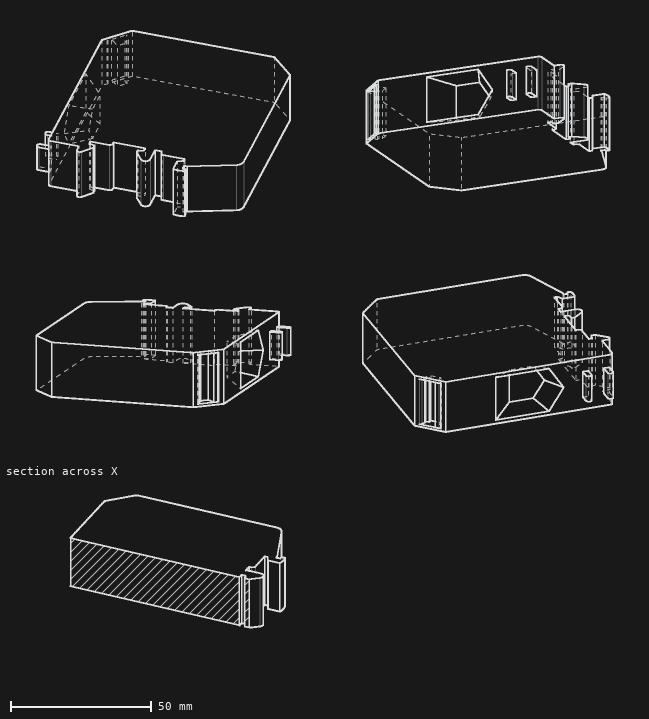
import cadquery as cq
import math

THICKNESS = 20.0
WIDTH = 70.5
HEIGHT = 72.5
CORNER_CUT = 8.65
EDGE_RADIUS = 1.05

SLOPE_ANGLE = 19.9
SLOPE_RADIUS = 3.0

SEAT_Y = 3.95
RECESS_Y = 5.9
FOOT_Y = -3.3

LEFT_FOOT_X = 11.6
LEFT_UNDERCUT_X = 14.55
LEFT_BARB_X = 16.75
LEFT_BARB_LOW_Y = 0.75
LEFT_BARB_HIGH_Y = 2.1
LEFT_UNDERCUT_Y = 2.65

RECESS_LEFT_X = 22.7
RECESS_RIGHT_X = 40.8
LATCH_NECK_X = 34.5
LATCH_BARB_X = 32.3
LATCH_BARB_Y = 2.65
LATCH_RIGHT_X = 38.2
LATCH_TIP_Y = -1.6
LATCH_TIP_RADIUS = 1.75
LATCH_LEAN = 36.0

RIGHT_FOOT_X = 47.75
RIGHT_UNDERCUT_X = 49.9
RIGHT_UNDERCUT_LOW_Y = 1.7
RIGHT_UNDERCUT_HIGH_Y = 2.8
RIGHT_ANKLE_X = 50.9
RIGHT_TOE_X = 52.1
TOE_TOP_Y = -1.8
ANKLE_Y = -1.6
SOLE_EDGE_Y = -3.0

PINS = [(10.6, 4.3), (2.6, 4.9)]
PIN_THICKNESS = 2.1
PIN_DEPTH = 10.1

SOCKET_TOP_Y = 44.7
SOCKET_SHOULDER_Y = 24.5
SOCKET_DEPTH = 7.9
SOCKET_HALF_WIDTH = 8.5
SOCKET_FLOOR_TOP_Y = 36.7
SOCKET_FLOOR_SHOULDER_Y = 27.6
SOCKET_FLOOR_HALF_WIDTH = 6.45
SOCKET_POINT_SLOPE = 0.66

POCKET_START = 1.8
POCKET_WIDTH = 18.0
LIP_RADIUS = 0.8
LIP_ANGLE = 70.0
RAMP_END = 1.3
RAMP_DEPTH = 2.0
STEP_DEPTH = 2.95
STEP_END = 2.65
SLOT_END = 6.45
SLOT_DEPTH = 4.3
POCKET_END = 8.4
GAP_DEPTH = 0.5
RIB_END = 8.2
RIB_HEIGHT = 0.1
RIB_RADIUS = 0.5


def extrude_centred(outline, depth):
    """Close the outline and extrude it symmetrically about z = 0."""
    return outline.close().extrude(depth / 2, both=True)


def polar(centre, radius, angle):
    """Point on a circle, with the angle in degrees."""
    a = math.radians(angle)
    return (centre[0] + radius * math.cos(a), centre[1] + radius * math.sin(a))


def make_body():
    slope_end_y = (WIDTH - RIGHT_TOE_X) * math.tan(math.radians(SLOPE_ANGLE))
    tip_centre = (LATCH_RIGHT_X - LATCH_TIP_RADIUS, LATCH_TIP_Y + LATCH_TIP_RADIUS)
    latch_tangent = polar(tip_centre, LATCH_TIP_RADIUS, 180 + LATCH_LEAN)
    latch_bottom = polar(tip_centre, LATCH_TIP_RADIUS, 270)
    toe_centre = (LEFT_FOOT_X + EDGE_RADIUS, FOOT_Y + EDGE_RADIUS)
    outline = (
        cq.Workplane("XY")
        .moveTo(0, 0)
        .lineTo(LEFT_FOOT_X, 0)
        .lineTo(*polar(toe_centre, EDGE_RADIUS, 180))
        .threePointArc(polar(toe_centre, EDGE_RADIUS, 247.5), polar(toe_centre, EDGE_RADIUS, 315))
        .lineTo(LEFT_BARB_X, LEFT_BARB_LOW_Y)
        .lineTo(LEFT_BARB_X, LEFT_BARB_HIGH_Y)
        .lineTo(LEFT_UNDERCUT_X, LEFT_UNDERCUT_Y)
        .lineTo(LEFT_UNDERCUT_X, SEAT_Y)
        .lineTo(RECESS_LEFT_X, SEAT_Y)
        .lineTo(RECESS_LEFT_X, RECESS_Y)
        .lineTo(LATCH_NECK_X, RECESS_Y)
        .lineTo(LATCH_NECK_X, SEAT_Y)
        .lineTo(LATCH_BARB_X, SEAT_Y)
        .lineTo(LATCH_BARB_X, LATCH_BARB_Y)
        .lineTo(*latch_tangent)
        .threePointArc(latch_bottom, (LATCH_RIGHT_X, tip_centre[1]))
        .lineTo(LATCH_RIGHT_X, RECESS_Y)
        .lineTo(RECESS_RIGHT_X, RECESS_Y)
        .lineTo(RECESS_RIGHT_X, SEAT_Y)
        .lineTo(RIGHT_UNDERCUT_X, SEAT_Y)
        .lineTo(RIGHT_UNDERCUT_X, RIGHT_UNDERCUT_HIGH_Y)
        .lineTo(RIGHT_FOOT_X, RIGHT_UNDERCUT_LOW_Y)
        .lineTo(RIGHT_FOOT_X, SOLE_EDGE_Y)
        .threePointArc(((RIGHT_FOOT_X + RIGHT_TOE_X) / 2, FOOT_Y), (RIGHT_TOE_X, SOLE_EDGE_Y))
        .lineTo(RIGHT_TOE_X, TOE_TOP_Y)
        .lineTo(RIGHT_ANKLE_X, ANKLE_Y)
        .lineTo(RIGHT_ANKLE_X, 0)
        .lineTo(RIGHT_TOE_X, 0)
        .lineTo(WIDTH, slope_end_y)
        .lineTo(WIDTH, HEIGHT - CORNER_CUT)
        .lineTo(WIDTH - CORNER_CUT, HEIGHT)
        .lineTo(CORNER_CUT, HEIGHT)
        .lineTo(0, HEIGHT - CORNER_CUT)
    )
    body = extrude_centred(outline, THICKNESS)
    rounded_edges = [
        (0, 0, EDGE_RADIUS),
        (RECESS_LEFT_X, SEAT_Y, EDGE_RADIUS),
        (LATCH_NECK_X, SEAT_Y, EDGE_RADIUS),
        (RECESS_RIGHT_X, SEAT_Y, EDGE_RADIUS),
        (WIDTH, slope_end_y, SLOPE_RADIUS),
    ]
    for x, y, radius in rounded_edges:
        corner = cq.selectors.NearestToPointSelector((x, y, 0))
        body = body.edges(corner).fillet(radius)
    return body


def make_pin(centre_y, length):
    half = PIN_THICKNESS / 2
    outline = (
        cq.Workplane("XY")
        .moveTo(half, centre_y - half)
        .lineTo(half - length, centre_y - half)
        .threePointArc((-length, centre_y), (half - length, centre_y + half))
        .lineTo(half, centre_y + half)
    )
    return extrude_centred(outline, PIN_DEPTH)


def socket_outline(top_y, shoulder_y, half_width):
    point_y = shoulder_y - SOCKET_POINT_SLOPE * half_width
    return [
        (top_y, -half_width),
        (shoulder_y, -half_width),
        (point_y, 0),
        (shoulder_y, half_width),
        (top_y, half_width),
    ]


def make_socket():
    mouth = socket_outline(SOCKET_TOP_Y, SOCKET_SHOULDER_Y, SOCKET_HALF_WIDTH)
    floor = socket_outline(SOCKET_FLOOR_TOP_Y, SOCKET_FLOOR_SHOULDER_Y, SOCKET_FLOOR_HALF_WIDTH)
    return (
        cq.Workplane("YZ")
        .polyline(mouth)
        .close()
        .workplane(offset=SOCKET_DEPTH)
        .polyline(floor)
        .close()
        .loft(ruled=True)
    )


def corner_cut_plane():
    """Local x runs down the left corner cut from the pocket edge, local y runs into the body."""
    offset = POCKET_START / math.sqrt(2)
    origin = (CORNER_CUT - offset, HEIGHT - offset, 0)
    return cq.Plane(origin=origin, xDir=(-1, -1, 0), normal=(0, 0, 1))


def make_pocket():
    lip_centre = (0, LIP_RADIUS)
    outline = (
        cq.Workplane(corner_cut_plane())
        .moveTo(0, 0)
        .threePointArc(
            polar(lip_centre, LIP_RADIUS, LIP_ANGLE / 2 - 90),
            polar(lip_centre, LIP_RADIUS, LIP_ANGLE - 90),
        )
        .lineTo(RAMP_END, RAMP_DEPTH)
        .lineTo(RAMP_END, STEP_DEPTH)
        .lineTo(STEP_END, STEP_DEPTH)
        .lineTo(STEP_END, SLOT_DEPTH)
        .lineTo(SLOT_END, SLOT_DEPTH)
        .lineTo(SLOT_END, GAP_DEPTH)
        .lineTo(POCKET_END, GAP_DEPTH)
        .lineTo(POCKET_END, 0)
    )
    return extrude_centred(outline, POCKET_WIDTH)


def make_rib():
    """Grip rib standing slightly proud of the corner cut, rounded at its lower end."""
    round_centre = (RIB_END - RIB_RADIUS, RIB_RADIUS - RIB_HEIGHT)
    root = GAP_DEPTH + RIB_RADIUS
    outline = (
        cq.Workplane(corner_cut_plane())
        .moveTo(SLOT_END, root)
        .lineTo(SLOT_END, -RIB_HEIGHT)
        .lineTo(round_centre[0], -RIB_HEIGHT)
        .threePointArc(polar(round_centre, RIB_RADIUS, -45), (RIB_END, round_centre[1]))
        .lineTo(RIB_END, root)
    )
    return extrude_centred(outline, POCKET_WIDTH)


result = make_body().cut(make_socket()).cut(make_pocket()).union(make_rib())
for pin_y, pin_length in PINS:
    result = result.union(make_pin(pin_y, pin_length))